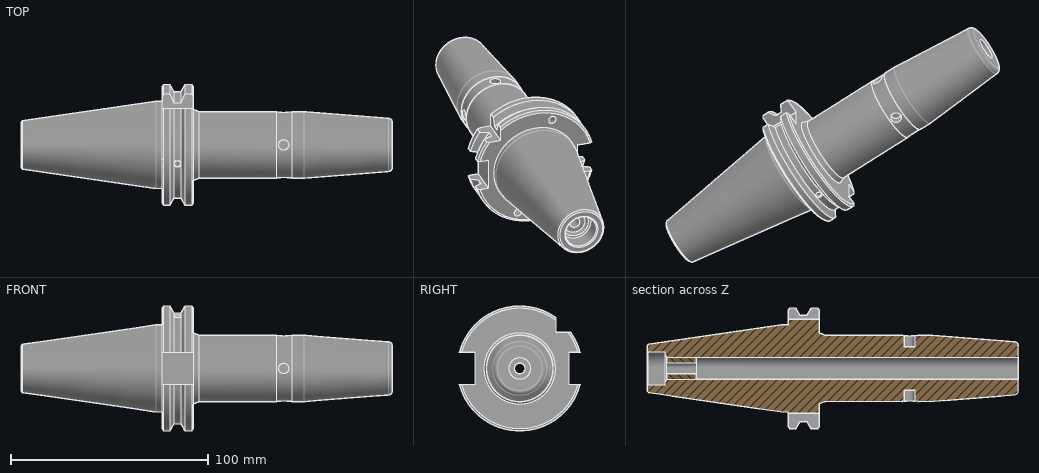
import cadquery as cq
import math

total_length = 188.4

gauge_x = 68.4
gauge_radius = 22.2
taper_ratio = 7 / 24
taper_end_radius = gauge_radius - gauge_x * taper_ratio / 2
taper_chamfer = 0.8

flange_front_x = 71.5
flange_back_x = 87.5
flange_diameter = 63.5
flange_radius = flange_diameter / 2
flange_bevel_depth = 1.1
flange_bevel_length = 0.8
groove_center_x = 79.3
groove_floor_width = 3.5
groove_floor_radius = 28.3
groove_side_angle = 30
groove_side_run = (flange_radius - groove_floor_radius) * math.tan(math.radians(groove_side_angle))

slot_width = 16.2
far_slot_floor = 25.0
near_slot_floor = 22.8
notch_offset = 18.5

collar_radius = 18.0
collar_end_x = 90.2
sleeve_radius = 17.0
band_start_x = 129.6
band_end_x = 137.3
band_radius = 16.8
nose_start_x = 143.5
nose_angle = 4.5
nose_fillet = 2.3
nose_radius = sleeve_radius - (total_length - nose_start_x) * math.tan(math.radians(nose_angle))

balance_hole_count = 4
balance_hole_x = 133.2
balance_hole_radius = 2.6
balance_hole_depth = 5.7

mouth_radius = 8.3
mouth_chamfer = 0.5
mouth_depth = 9.0
funnel_radius = 7.0
through_radius = 5.5
funnel_length = 1.0
funnel_end_x = mouth_depth + funnel_length

screw_start_x = funnel_end_x
screw_length = 15.0
screw_hole_radius = 2.6

coolant_angles = (20, 200)
coolant_pitch_radius = 27.0
slant_hole_radius = 1.9
slant_angle = 20
slant_overrun = 3.8
cross_hole_radius = 1.7
cross_hole_bottom = 19.8
plug_length = 1.3
plug_recess = 1.1


def x_cylinder(radius, start_x, length):
    return cq.Workplane("YZ", origin=(start_x, 0, 0)).circle(radius).extrude(length)


def radial_cylinder(radius, x, inner_radius, length):
    """Cylinder pointing along +Z, starting at the given distance from the axis."""
    return cq.Workplane("XY", origin=(x, 0, inner_radius)).circle(radius).extrude(length)


def turn(body, angle):
    return body.rotate((0, 0, 0), (1, 0, 0), angle)


def turned_profile():
    """Solid of revolution of the outside of the holder."""
    half_floor = groove_floor_width / 2
    half_mouth = half_floor + groove_side_run
    beveled_radius = flange_radius - flange_bevel_depth
    outline = (
        cq.Workplane("XY")
        .lineTo(0, taper_end_radius)
        .lineTo(gauge_x, gauge_radius)
        .lineTo(flange_front_x, gauge_radius)
        .lineTo(flange_front_x, beveled_radius)
        .lineTo(flange_front_x + flange_bevel_length, flange_radius)
        .lineTo(groove_center_x - half_mouth, flange_radius)
        .lineTo(groove_center_x - half_floor, groove_floor_radius)
        .lineTo(groove_center_x + half_floor, groove_floor_radius)
        .lineTo(groove_center_x + half_mouth, flange_radius)
        .lineTo(flange_back_x - flange_bevel_length, flange_radius)
        .lineTo(flange_back_x, beveled_radius)
        .lineTo(flange_back_x, collar_radius)
        .lineTo(collar_end_x, sleeve_radius)
        .lineTo(band_start_x, sleeve_radius)
        .lineTo(band_start_x, band_radius)
        .lineTo(band_end_x, band_radius)
        .lineTo(band_end_x, sleeve_radius)
        .lineTo(nose_start_x, sleeve_radius)
        .lineTo(total_length, nose_radius)
        .lineTo(total_length, 0)
        .close()
    )
    body = outline.revolve(360, (0, 0, 0), (1, 0, 0))
    body = body.faces(">X").edges().fillet(nose_fillet)
    return body.faces("<X").edges().chamfer(taper_chamfer)


def flange_cutouts():
    """Drive slots on both Y sides and the notch in the +Y +Z corner."""
    length = flange_back_x - flange_front_x
    slot = cq.Workplane("XY", origin=(flange_front_x, 0, 0)).box(
        length, flange_radius, slot_width, centered=(False, False, True)
    )
    far_slot = slot.translate((0, far_slot_floor, 0))
    near_slot = slot.translate((0, -near_slot_floor - flange_radius, 0))
    notch = cq.Workplane("XY", origin=(flange_front_x, notch_offset, notch_offset)).box(
        length, flange_radius, flange_radius, centered=False
    )
    return far_slot.union(near_slot).union(notch)


def axial_bore():
    mouth_rim = mouth_radius + mouth_chamfer
    return (
        cq.Workplane("XY")
        .lineTo(0, mouth_rim)
        .lineTo(mouth_chamfer, mouth_radius)
        .lineTo(mouth_depth, mouth_radius)
        .lineTo(mouth_depth, funnel_radius)
        .lineTo(funnel_end_x, through_radius)
        .lineTo(total_length, through_radius)
        .lineTo(total_length, 0)
        .close()
        .revolve(360, (0, 0, 0), (1, 0, 0))
    )


def balance_hole():
    bottom_radius = band_radius - balance_hole_depth
    return radial_cylinder(balance_hole_radius, balance_hole_x, bottom_radius, sleeve_radius - bottom_radius)


def coolant_passage():
    """Slanted hole from the flange face and the radial hole it runs into."""
    run = groove_center_x - flange_front_x
    slant_length = run / math.cos(math.radians(slant_angle))
    slant = x_cylinder(slant_hole_radius, -slant_overrun, slant_overrun + slant_length)
    slant = slant.rotate((0, 0, 0), (0, 1, 0), slant_angle)
    slant = slant.translate((flange_front_x, 0, coolant_pitch_radius))
    cross_length = flange_radius - cross_hole_bottom
    cross = radial_cylinder(cross_hole_radius, groove_center_x, cross_hole_bottom, cross_length)
    return cross.union(slant)


def make_housing():
    body = turned_profile().cut(flange_cutouts()).cut(axial_bore())
    for index in range(balance_hole_count):
        body = body.cut(turn(balance_hole(), index * 360 / balance_hole_count))
    for angle in coolant_angles:
        body = body.cut(turn(coolant_passage(), angle))
    return body


def make_adjusting_screw():
    screw = x_cylinder(through_radius, screw_start_x, screw_length)
    return screw.cut(x_cylinder(screw_hole_radius, screw_start_x, screw_length))


def make_plug(angle):
    inner_radius = groove_floor_radius - plug_recess - plug_length
    return turn(radial_cylinder(cross_hole_radius, groove_center_x, inner_radius, plug_length), angle)


housing = make_housing()
adjusting_screw = make_adjusting_screw()
plugs = [make_plug(angle) for angle in coolant_angles]

result = cq.Compound.makeCompound([housing.val(), adjusting_screw.val(), *[plug.val() for plug in plugs]])